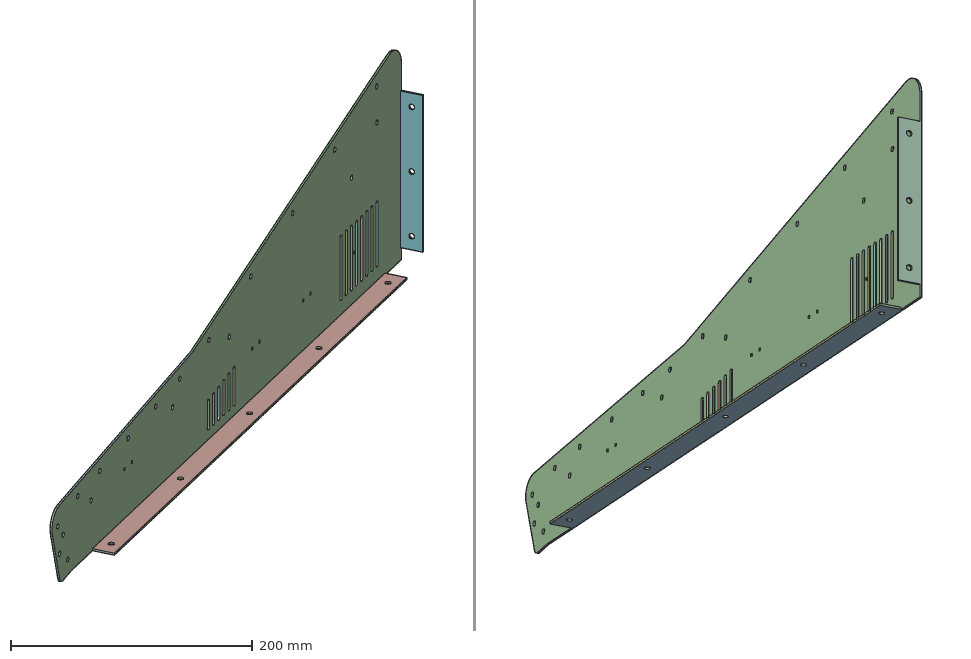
import cadquery as cq
import math

length = 685.0
height = 202.0
depth = 22.0
sheet = 1.9

rear_y = length / 2
nose_y = -length / 2
top_z = height / 2
nose_bottom_z = -height / 2

nose_drop = 2.0
plate_bottom_z = nose_bottom_z + nose_drop
corner_radius = 20.0
nose_radius = 16.5
toe_radius = 5.5
rear_slope = math.radians(15)
front_slope = math.radians(5.6)
nose_lean = math.radians(17)
kink_y = -67.0
drop_start_y = -305.5

flange_hole_diameter = 5.0
flange_hole_x = (depth + sheet) / 2
rear_flange_center_z = -15.0
rear_flange_length = 144.5
rear_hole_pitch = 59.5
rear_hole_count = 3
bottom_flange_center_y = 23.0
bottom_flange_length = 573.0
bottom_hole_pitch = 135.5
bottom_hole_count = 5

slot_width = 4.05
slot_web = 6.0
slot_pitch = slot_width + slot_web
rear_vent_start_y = 294.5
rear_vent_count = 8
rear_vent_bottom_z = -84.0
rear_vent_height = 60.0
front_vent_start_y = 14.5
front_vent_count = 6
front_vent_bottom_z = -88.0
front_vent_height = 36.0
front_vent_step = 1.65

screw_diameter = 4.25
rear_row_start = (294.0, 82.0)
rear_row_pitch_y = 82.0
rear_row_count = 5
front_row_start_z = -16.5
front_row_y = (-92.0, -139.0, -193.0, -248.5, -292.0)
inner_holes = ((294.5, 48.5), (244.5, 20.0), (5.0, -20.5), (-106.0, -36.0), (-265.5, -51.5))
nose_holes = ((-331.0, -46.5), (-320.5, -59.0), (-327.0, -73.0), (-311.5, -85.5))

small_diameter = 2.5
pair_spacing = 14.5
pair_z = -51.5
pair_centers_y = (257.0, 157.0, 57.0, -193.0)


def on_circle(center, radius, angle):
    """Point (y, z) on a circle, with the angle measured from +Y toward +Z."""
    return (center[0] + radius * math.cos(angle), center[1] + radius * math.sin(angle))


def make_plate():
    up = math.pi / 2

    rear_center = (rear_y - corner_radius, top_z - corner_radius)
    rear_end_angle = up + rear_slope
    rear_end = on_circle(rear_center, corner_radius, rear_end_angle)
    kink = (kink_y, rear_end[1] - (rear_end[0] - kink_y) * math.tan(rear_slope))

    nose_start_angle = up + front_slope
    nose_end_angle = math.pi + nose_lean
    nose_center_y = nose_y + nose_radius
    run = kink_y - nose_center_y
    nose_center_z = kink[1] - run * math.tan(front_slope) - nose_radius / math.cos(front_slope)
    nose_center = (nose_center_y, nose_center_z)

    toe_center_z = nose_bottom_z + toe_radius
    fall = nose_center_z - toe_center_z
    inset = (nose_radius - toe_radius) / math.cos(nose_lean)
    toe_center = (nose_center_y + fall * math.tan(nose_lean) - inset, toe_center_z)
    toe_end_angle = 1.5 * math.pi

    return (
        cq.Workplane("YZ")
        .moveTo(rear_y, plate_bottom_z)
        .lineTo(rear_y, rear_center[1])
        .threePointArc(on_circle(rear_center, corner_radius, rear_end_angle / 2), rear_end)
        .lineTo(*kink)
        .lineTo(*on_circle(nose_center, nose_radius, nose_start_angle))
        .threePointArc(
            on_circle(nose_center, nose_radius, (nose_start_angle + nose_end_angle) / 2),
            on_circle(nose_center, nose_radius, nose_end_angle),
        )
        .lineTo(*on_circle(toe_center, toe_radius, nose_end_angle))
        .threePointArc(
            on_circle(toe_center, toe_radius, (nose_end_angle + toe_end_angle) / 2),
            on_circle(toe_center, toe_radius, toe_end_angle),
        )
        .lineTo(drop_start_y, plate_bottom_z)
        .close()
        .extrude(sheet)
    )


def centered_row(count, pitch):
    """Offsets of evenly spaced features about the middle of their row."""
    return [(i - (count - 1) / 2) * pitch for i in range(count)]


def make_rear_flange():
    flange = cq.Workplane("XY").box(depth, sheet, rear_flange_length, centered=(False, False, True))
    holes = (
        cq.Workplane("XZ")
        .pushPoints([(flange_hole_x, z) for z in centered_row(rear_hole_count, rear_hole_pitch)])
        .circle(flange_hole_diameter / 2)
        .extrude(-sheet)
    )
    return flange.cut(holes).translate((0, rear_y - sheet, rear_flange_center_z))


def make_bottom_flange():
    flange = cq.Workplane("XY").box(depth, bottom_flange_length, sheet, centered=(False, True, False))
    holes = (
        cq.Workplane("XY")
        .pushPoints([(flange_hole_x, y) for y in centered_row(bottom_hole_count, bottom_hole_pitch)])
        .circle(flange_hole_diameter / 2)
        .extrude(sheet)
    )
    return flange.cut(holes).translate((0, bottom_flange_center_y, plate_bottom_z))


def plate_holes(points, diameter):
    return cq.Workplane("YZ").pushPoints(points).circle(diameter / 2).extrude(sheet)


def vent_slots(start_y, count, bottom_z, first_height, height_step):
    """Upright round-ended slots from the rear forward, each shorter than the last by the step."""
    slots = cq.Workplane("YZ")
    for i in range(count):
        slot_height = first_height - i * height_step
        center = (start_y - i * slot_pitch, bottom_z + slot_height / 2)
        slots = slots.add(
            cq.Workplane("YZ").center(*center).slot2D(slot_height, slot_width, 90).extrude(sheet)
        )
    return slots.combine()


def screw_points():
    """Screw rows parallel to the two sloped edges, plus the separate inner and nose holes."""
    y0, z0 = rear_row_start
    rear_row = [
        (y0 - i * rear_row_pitch_y, z0 - i * rear_row_pitch_y * math.tan(rear_slope))
        for i in range(rear_row_count)
    ]
    front_row = [
        (y, front_row_start_z - (front_row_y[0] - y) * math.tan(front_slope)) for y in front_row_y
    ]
    return rear_row + front_row + list(inner_holes) + list(nose_holes)


pair_points = [(y + side * pair_spacing / 2, pair_z) for y in pair_centers_y for side in (-1, 1)]

result = (
    make_plate()
    .cut(plate_holes(screw_points(), screw_diameter))
    .cut(plate_holes(pair_points, small_diameter))
    .cut(vent_slots(rear_vent_start_y, rear_vent_count, rear_vent_bottom_z, rear_vent_height, 0))
    .cut(
        vent_slots(
            front_vent_start_y, front_vent_count, front_vent_bottom_z, front_vent_height, front_vent_step
        )
    )
    .union(make_rear_flange())
    .union(make_bottom_flange())
)